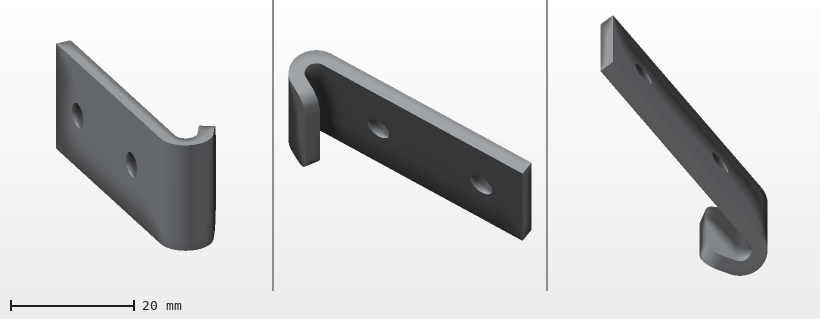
import cadquery as cq
import math

overall_length = 43.3
overall_depth = 11.0
width = 19.0
thickness = 2.6
inner_radius = 1.9
bend_angle = 150.0
lip_corner_radius = 3.0
hole_diameter = 4.2
first_hole_offset = 8.0
hole_count = 2
hole_spacing = 20.0

outer_radius = inner_radius + thickness
bend_x = overall_length - outer_radius
bend_y = outer_radius
end_angle = bend_angle - 90.0
lip_rise = overall_depth - bend_y - outer_radius * math.sin(math.radians(end_angle))
lip_length = lip_rise / math.cos(math.radians(end_angle))


def bend_point(radius, angle):
    """Point on a circle around the bend axis, angle in degrees from +X."""
    turn = math.radians(angle)
    return (bend_x + radius * math.cos(turn), bend_y + radius * math.sin(turn))


def along_lip(point):
    """Point moved from the end of the bend to the free edge of the lip."""
    turn = math.radians(end_angle)
    return (point[0] - lip_length * math.sin(turn), point[1] + lip_length * math.cos(turn))


def bent_strip():
    """Plate, bend and lip as one constant-thickness profile extruded along Z."""
    middle_angle = end_angle - bend_angle / 2
    outer_end = bend_point(outer_radius, end_angle)
    inner_end = bend_point(inner_radius, end_angle)
    return (
        cq.Workplane("XY")
        .moveTo(0, 0)
        .lineTo(bend_x, 0)
        .threePointArc(bend_point(outer_radius, middle_angle), outer_end)
        .lineTo(*along_lip(outer_end))
        .lineTo(*along_lip(inner_end))
        .lineTo(*inner_end)
        .threePointArc(bend_point(inner_radius, middle_angle), (bend_x, thickness))
        .lineTo(0, thickness)
        .close()
        .extrude(width)
    )


def round_lip_corners(body):
    """Round the two short edges across the thickness at the free end of the lip."""
    outer_tip = along_lip(bend_point(outer_radius, end_angle))
    inner_tip = along_lip(bend_point(inner_radius, end_angle))
    middle_x = (outer_tip[0] + inner_tip[0]) / 2
    middle_y = (outer_tip[1] + inner_tip[1]) / 2
    for corner_z in (0, width):
        corner = cq.selectors.NearestToPointSelector((middle_x, middle_y, corner_z))
        body = body.edges(corner).fillet(lip_corner_radius)
    return body


def mounting_holes():
    """Pins for the holes through the plate, centred across its width."""
    centres = [(first_hole_offset + i * hole_spacing, width / 2) for i in range(hole_count)]
    return (
        cq.Workplane("XZ")
        .pushPoints(centres)
        .circle(hole_diameter / 2)
        .extrude(-thickness)
    )


result = round_lip_corners(bent_strip()).cut(mounting_holes())